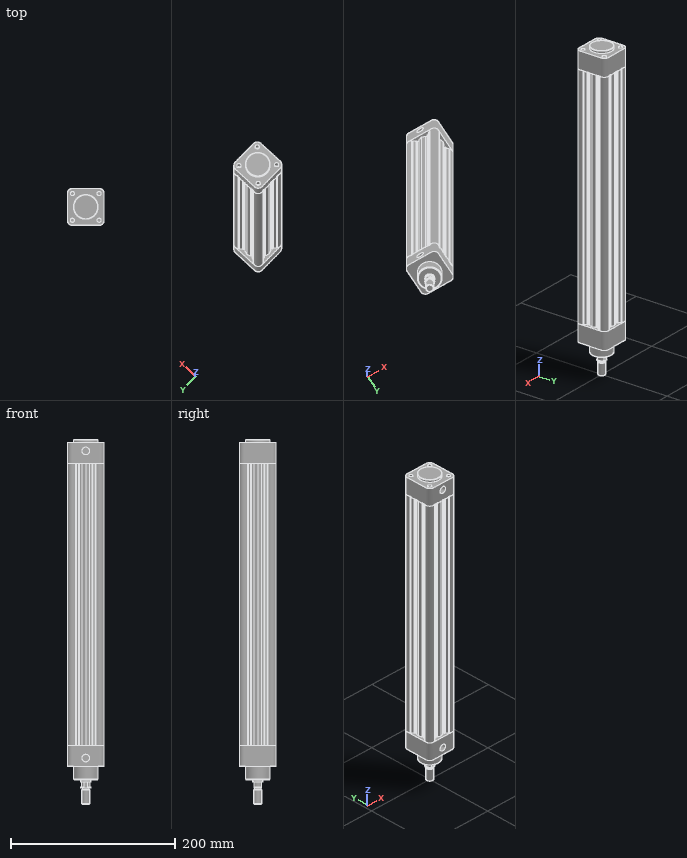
import cadquery as cq
import math

side = 45.0
half_side = side / 2
screw_offset = 16.25
corner_radius = half_side - screw_offset
cap_length = 25.5
barrel_length = 343.3
barrel_bottom = cap_length
rear_cap_bottom = barrel_bottom + barrel_length
rear_cap_top = rear_cap_bottom + cap_length

spigot_diameter = 30.0
front_spigot_length = 16.5
front_spigot_chamfer = 1.0
rear_spigot_length = 3.5
rear_spigot_chamfer = 0.5

screw_hole_diameter = 5.0
screw_hole_depth = 15.0
port_diameter = 9.2
port_depth = 8.0
rear_port_drop = 10.5
front_port_height = 10.2

lobe_edge_offset = 12.7
ledge_depth = 1.9
ledge_edge_offset = 11.3
slope_foot_offset = 8.7
slope_foot_depth = ledge_depth + ledge_edge_offset - slope_foot_offset
groove_outer_offset = 7.3
groove_inner_offset = 4.7
groove_angle = math.radians(20)
ridge_angle = math.radians(17)
ridge_depth = 3.3
ridge_foot_depth = ridge_depth + groove_inner_offset * math.tan(ridge_angle)
groove_step = 0.6
groove_inner_depth = ridge_foot_depth + groove_step
groove_outer_depth = groove_inner_depth + (groove_outer_offset - groove_inner_offset) * math.tan(groove_angle)

rod_diameter = 12.2
rod_collar_length = 2.2
neck_diameter = 10.5
neck_length = 6.6
across_flats = 9.6
shoulder_length = 1.2
undercut_diameter = 8.4
undercut_length = 1.4
thread_diameter = 10.0
thread_start_chamfer = (thread_diameter - undercut_diameter) / 2
thread_end_chamfer = 0.8
rod_length = 29.7


def cap_block(bottom):
    return (
        cq.Workplane("XY", origin=(0, 0, bottom))
        .rect(side, side)
        .extrude(cap_length)
        .edges("|Z")
        .fillet(corner_radius)
    )


def air_port(height):
    """Blind port entering from the -Y side."""
    return (
        cq.Workplane("XZ", origin=(0, -half_side, height))
        .circle(port_diameter / 2)
        .extrude(-port_depth)
    )


def make_rear_cap():
    spigot = (
        cq.Workplane("XY", origin=(0, 0, rear_cap_top))
        .circle(spigot_diameter / 2)
        .extrude(rear_spigot_length)
        .faces(">Z")
        .chamfer(rear_spigot_chamfer)
    )
    screw_holes = (
        cq.Workplane("XY", origin=(0, 0, rear_cap_top))
        .rect(2 * screw_offset, 2 * screw_offset, forConstruction=True)
        .vertices()
        .circle(screw_hole_diameter / 2)
        .extrude(-screw_hole_depth)
    )
    port = air_port(rear_cap_top - rear_port_drop)
    return cap_block(rear_cap_bottom).union(spigot).cut(screw_holes).cut(port)


def make_front_cap():
    spigot = (
        cq.Workplane("XY")
        .circle(spigot_diameter / 2)
        .extrude(-front_spigot_length)
        .faces("<Z")
        .chamfer(front_spigot_chamfer)
    )
    return cap_block(0).union(spigot).cut(air_port(front_port_height))


def quarter_turns(point, turns):
    x, y = point
    for _ in range(turns):
        x, y = -y, x
    return x, y


def make_barrel():
    """Solid extrusion with a round lobe at each corner and a grooved, ridged side between them."""
    lobe_reach = screw_offset - lobe_edge_offset
    lobe_edge_y = -screw_offset - math.sqrt(corner_radius**2 - lobe_reach**2)
    lobe_middle = screw_offset + corner_radius * math.cos(math.pi / 4)
    half_profile = [
        (lobe_edge_offset, lobe_edge_y),
        (lobe_edge_offset, ledge_depth - half_side),
        (ledge_edge_offset, ledge_depth - half_side),
        (slope_foot_offset, slope_foot_depth - half_side),
        (groove_outer_offset, slope_foot_depth - half_side),
        (groove_outer_offset, groove_outer_depth - half_side),
        (groove_inner_offset, groove_inner_depth - half_side),
        (groove_inner_offset, ridge_foot_depth - half_side),
    ]
    ridge = (0, ridge_depth - half_side)
    side_profile = [(-x, y) for x, y in half_profile] + [ridge] + half_profile[::-1]

    outline = cq.Workplane("XY", origin=(0, 0, barrel_bottom)).moveTo(*side_profile[0])
    for turn in range(4):
        for point in side_profile[1:]:
            outline = outline.lineTo(*quarter_turns(point, turn))
        arc_middle = quarter_turns((lobe_middle, -lobe_middle), turn)
        arc_end = quarter_turns(side_profile[0], turn + 1)
        outline = outline.threePointArc(arc_middle, arc_end)
    return outline.close().extrude(barrel_length)


def make_rod():
    rod_top = -front_spigot_length
    neck_top = rod_top - rod_collar_length
    shoulder_top = neck_top - neck_length
    shoulder_bottom = shoulder_top - shoulder_length
    thread_top = shoulder_bottom - undercut_length
    rod_bottom = rod_top - rod_length
    rod_radius = rod_diameter / 2
    neck_radius = neck_diameter / 2
    undercut_radius = undercut_diameter / 2
    thread_radius = thread_diameter / 2
    half_section = [
        (0, rod_top),
        (rod_radius, rod_top),
        (rod_radius, neck_top),
        (neck_radius, neck_top),
        (neck_radius, shoulder_top),
        (rod_radius, shoulder_top),
        (rod_radius, shoulder_bottom),
        (undercut_radius, shoulder_bottom),
        (undercut_radius, thread_top),
        (thread_radius, thread_top - thread_start_chamfer),
        (thread_radius, rod_bottom + thread_end_chamfer),
        (thread_radius - thread_end_chamfer, rod_bottom),
        (0, rod_bottom),
    ]
    rod = cq.Workplane("XZ").polyline(half_section).close().revolve(360, (0, 0, 0), (0, 1, 0))

    flats_length = neck_top - shoulder_bottom
    flat_cutter_width = rod_diameter
    for direction in (-1, 1):
        cutter_center_y = direction * (across_flats + flat_cutter_width) / 2
        cutter = (
            cq.Workplane("XY", origin=(0, cutter_center_y, shoulder_bottom))
            .rect(rod_diameter, flat_cutter_width)
            .extrude(flats_length)
        )
        rod = rod.cut(cutter)
    return rod


rear_cap = make_rear_cap()
barrel = make_barrel()
front_cap = make_front_cap()
rod = make_rod()

result = cq.Compound.makeCompound([rear_cap.val(), barrel.val(), front_cap.val(), rod.val()])